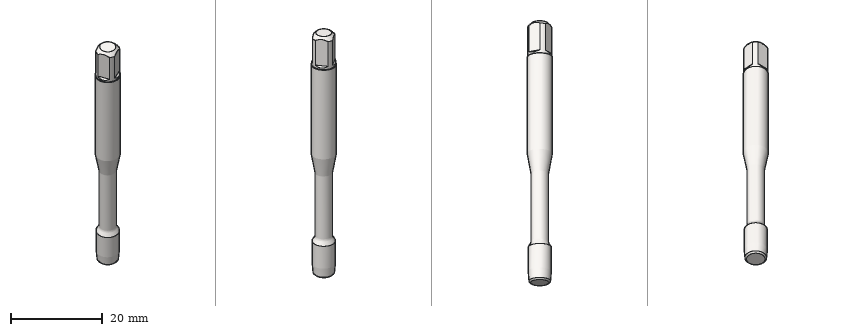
import cadquery as cq
import math

length = 60.1
lead_top = 2.5
head_top = 8.2
shoulder_top = 9.25
neck_top = 25.2
taper_top = 29.9
shank_top = 52.35
flat_bottom = 53.05

shank_diameter = 5.5
neck_diameter = 3.85
head_diameter = 5.1
lead_diameter = 4.75
drive_diameter = 5.3

across_flats = 4.5
flat_count = 4
drive_chamfer = 0.9
tip_chamfer = 0.35
neck_fillet = 0.95
taper_fillet = 0.6
runout_slope = 45.0
shoulder_chamfer = (shank_diameter - drive_diameter) / 2

edge_margin = 0.05


def circle_at(diameter, z):
    """Half-profile point on a circle of the given diameter at height z."""
    return (diameter / 2, z)


def revolve_profile(points):
    """Revolve an (r, z) half profile about the Z axis."""
    return cq.Workplane("XZ").polyline(points).close().revolve(360, (0, 0), (0, 1))


def make_cutting_head():
    """Cylindrical cutting head with a tapered lead and a chamfered tip."""
    return revolve_profile([
        (0, 0),
        circle_at(lead_diameter - 2 * tip_chamfer, 0),
        circle_at(lead_diameter, tip_chamfer),
        circle_at(head_diameter, lead_top),
        circle_at(head_diameter, head_top),
        (0, head_top),
    ])


def make_flat_cutter():
    """Cutter for the +X drive flat, with a sloped run-out at its lower end."""
    flat_x = across_flats / 2
    cutter_depth = shank_diameter - flat_x
    runout_drop = cutter_depth * math.tan(math.radians(runout_slope))
    return (
        cq.Workplane("XZ")
        .moveTo(flat_x, length)
        .lineTo(flat_x, flat_bottom)
        .lineTo(flat_x + cutter_depth, flat_bottom - runout_drop)
        .lineTo(flat_x + cutter_depth, length)
        .close()
        .extrude(shank_diameter / 2, both=True)
    )


def fillet_edge(body, diameter, z, radius):
    """Round the circular edge of the given diameter at height z."""
    half_width = diameter / 2 + edge_margin
    selector = cq.selectors.BoxSelector(
        (-half_width, -half_width, z - edge_margin),
        (half_width, half_width, z + edge_margin),
        boundingbox=True,
    )
    return body.edges("%CIRCLE").edges(selector).fillet(radius)


def make_shank():
    """Neck, taper, round shank and square drive in one turned body."""
    shank = revolve_profile([
        (0, head_top),
        circle_at(head_diameter, head_top),
        circle_at(neck_diameter, shoulder_top),
        circle_at(neck_diameter, neck_top),
        circle_at(shank_diameter, taper_top),
        circle_at(shank_diameter, shank_top - shoulder_chamfer),
        circle_at(drive_diameter, shank_top),
        circle_at(drive_diameter, length - drive_chamfer),
        circle_at(drive_diameter - 2 * drive_chamfer, length),
        (0, length),
    ])
    shank = fillet_edge(shank, neck_diameter, shoulder_top, neck_fillet)
    shank = fillet_edge(shank, neck_diameter, neck_top, taper_fillet)
    flat_cutter = make_flat_cutter()
    for side in range(flat_count):
        angle = side * 360 / flat_count
        shank = shank.cut(flat_cutter.rotate((0, 0, 0), (0, 0, 1), angle))
    return shank


cutting_head = make_cutting_head()
shank = make_shank()

result = cq.Compound.makeCompound([cutting_head.val(), shank.val()])